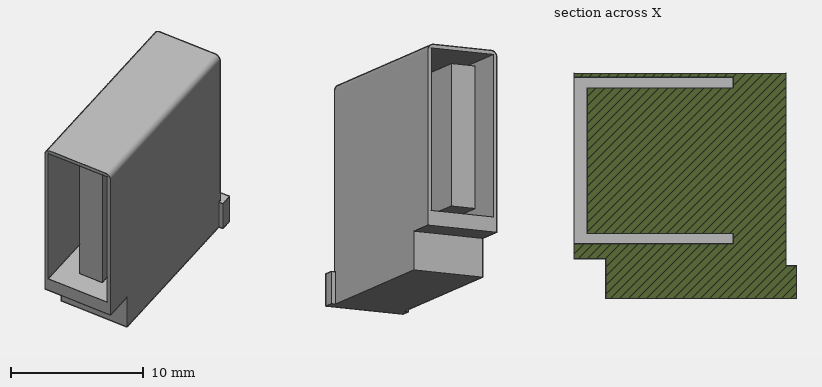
import cadquery as cq

height = 17.0
flange_width = 6.5
total_length = 16.8

body_width = 5.8
body_length = 16.0
top_edge_radius = 0.5

step_depth = 2.4
step_height = 3.0

flange_thickness = 1.0
flange_height = 2.5

wall = 0.3
socket_floor = 4.15
socket_depth = 12.0

tongue_width = 2.0
tongue_height = 11.0
tongue_bottom = 4.9
tongue_offset = 0.56
tongue_recess = 1.0


def block(width, length, block_height, x_center=0, y_front=0, z_bottom=0):
    """Box centred on x_center, running back from y_front and up from z_bottom."""
    return (
        cq.Workplane("XY")
        .box(width, length, block_height, centered=(True, False, False))
        .translate((x_center, y_front, z_bottom))
    )


def make_housing():
    housing = block(body_width, body_length, height)
    housing = housing.edges("|Y and >Z").fillet(top_edge_radius)
    return housing.cut(block(body_width, step_depth, step_height))


def make_socket():
    socket_width = body_width - 2 * wall
    socket_height = height - wall - socket_floor
    return block(socket_width, socket_depth, socket_height, z_bottom=socket_floor)


def make_tongue():
    tongue_length = socket_depth - tongue_recess
    return block(
        tongue_width, tongue_length, tongue_height, tongue_offset, tongue_recess, tongue_bottom
    )


def make_flange():
    flange_front = total_length - flange_thickness
    return block(flange_width, flange_thickness, flange_height, y_front=flange_front)


result = make_housing().cut(make_socket()).union(make_tongue()).union(make_flange())